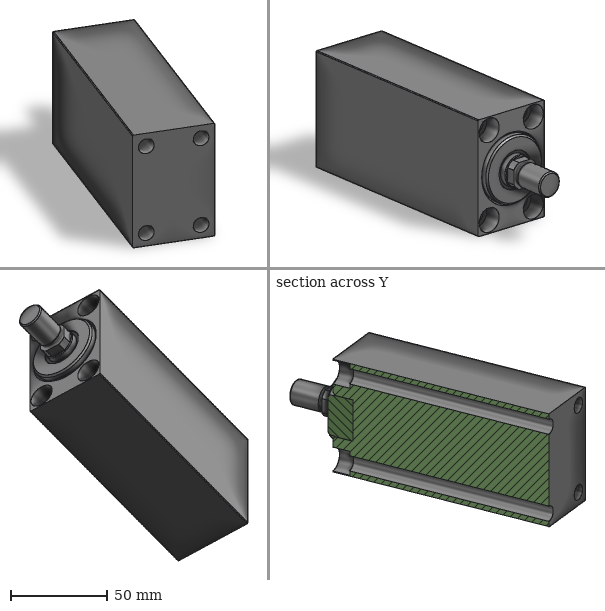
import cadquery as cq

housing_length = 130.0
housing_width = 45.0
housing_height = 65.0
housing_edge_chamfer = 0.5

hole_pitch_y = 30.0
hole_pitch_z = 50.0
hole_diameter = 8.5
counterbore_diameter = 13.5
counterbore_depth = 10.0

bush_diameter = 38.0
bush_protrusion = 3.0
bush_seat_depth = 12.0
bush_chamfer = 1.0
seat_mouth_chamfer = 1.1

wiper_diameter = 21.5
wiper_setback = 1.0
wiper_thickness = 4.0
wiper_front = wiper_setback - bush_protrusion
wiper_back = wiper_front + wiper_thickness

total_length = 161.0
rod_diameter = 18.0
rod_shoulder = 6.0
rod_shoulder_chamfer = 0.5
wrench_diameter = 17.0
wrench_across_flats = 15.0
wrench_end = 11.0
neck_diameter = 12.0
neck_fillet = 0.5
neck_end = 13.5
thread_diameter = 14.0
thread_tip_chamfer = 0.7
rod_tip = total_length - housing_length


def cylinder_along_x(diameter, x_start, x_end):
    """Round bar on the X axis between two X places."""
    return cq.Workplane("YZ").workplane(offset=x_start).circle(diameter / 2).extrude(x_end - x_start)


def make_housing():
    """Block with counterbored holes and a blind seat with a conical mouth."""
    block = (
        cq.Workplane("YZ")
        .rect(housing_width, housing_height)
        .extrude(housing_length)
        .edges("|X")
        .chamfer(housing_edge_chamfer)
    )
    hole_places = cq.Workplane("YZ").rect(hole_pitch_y, hole_pitch_z, forConstruction=True).vertices()
    block = block.cut(hole_places.circle(hole_diameter / 2).extrude(housing_length))
    block = block.cut(hole_places.circle(counterbore_diameter / 2).extrude(counterbore_depth))

    seat = cylinder_along_x(bush_diameter, 0, bush_seat_depth)
    seat_radius = bush_diameter / 2
    mouth_profile = [
        (0, 0),
        (0, seat_radius + seat_mouth_chamfer),
        (seat_mouth_chamfer, seat_radius),
        (seat_mouth_chamfer, 0),
    ]
    mouth = cq.Workplane("XY").polyline(mouth_profile).close().revolve(360, (0, 0, 0), (1, 0, 0))
    return block.cut(seat).cut(mouth)


def make_bush():
    """Guide ring with a chamfered nose, wiper recess and rod bore."""
    bush = cylinder_along_x(bush_diameter, -bush_protrusion, bush_seat_depth)
    bush = bush.faces("<X").edges().chamfer(bush_chamfer)
    wiper_recess = cylinder_along_x(wiper_diameter, -bush_protrusion, wiper_back)
    rod_bore = cylinder_along_x(rod_diameter, -bush_protrusion, bush_seat_depth)
    return bush.cut(wiper_recess).cut(rod_bore)


def make_wiper():
    """Plain ring filling the back of the bush recess."""
    ring = cylinder_along_x(wiper_diameter, wiper_front, wiper_back)
    return ring.cut(cylinder_along_x(rod_diameter, wiper_front, wiper_back))


def make_rod():
    """Shank, four wrench flats, undercut neck and smooth thread end."""
    shank = cylinder_along_x(rod_diameter, -rod_shoulder, bush_seat_depth)
    shank = shank.faces("<X").edges().chamfer(rod_shoulder_chamfer)
    wrench_square = (
        cq.Workplane("YZ")
        .workplane(offset=-wrench_end)
        .rect(wrench_across_flats, wrench_across_flats)
        .extrude(wrench_end - rod_shoulder)
    )
    wrench = cylinder_along_x(wrench_diameter, -wrench_end, -rod_shoulder).intersect(wrench_square)
    neck = cylinder_along_x(neck_diameter, -neck_end, -wrench_end)
    thread = cylinder_along_x(thread_diameter, -rod_tip, -neck_end)
    thread = thread.faces("<X").edges().chamfer(thread_tip_chamfer)
    rod = shank.union(wrench).union(neck).union(thread)
    neck_corners = cq.selectors.RadiusNthSelector(0)
    return rod.edges(neck_corners).fillet(neck_fillet)


housing = make_housing()
bush = make_bush()
wiper = make_wiper()
rod = make_rod()

result = cq.Compound.makeCompound([housing.val(), bush.val(), wiper.val(), rod.val()])